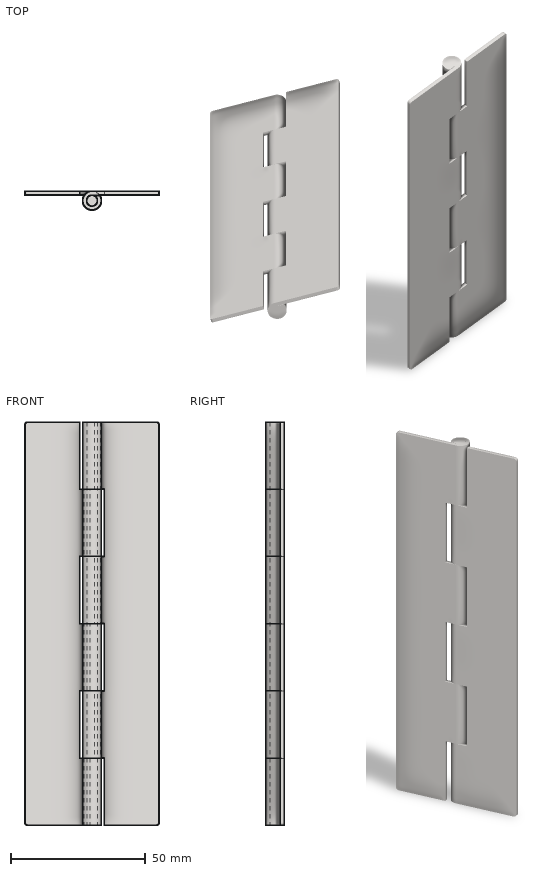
import cadquery as cq

hinge_height = 150.0
hinge_width = 50.0
knuckle_count = 6
knuckle_height = hinge_height / knuckle_count

barrel_diameter = 7.0
barrel_radius = barrel_diameter / 2
sheet_thickness = 1.5
pin_radius = barrel_radius - sheet_thickness
leaf_edge_offset = 4.5
corner_radius = 1.0
seam_gap = 0.2

LEFT = -1
RIGHT = 1


def make_plate(side):
    """Flat sheet of one leaf, with its two outer corners rounded."""
    width = hinge_width / 2 - leaf_edge_offset
    center_x = side * (leaf_edge_offset + width / 2)
    outer_edges = ">X" if side == RIGHT else "<X"
    return (
        cq.Workplane("XY")
        .box(width, sheet_thickness, hinge_height)
        .edges("|Y")
        .edges(outer_edges)
        .fillet(corner_radius)
        .translate((center_x, barrel_radius - sheet_thickness / 2, 0))
    )


def make_knuckle(side, index):
    """Rolled barrel ring, open at its seam, and its tangent strip; index counts from the bottom."""
    bottom = index * knuckle_height - hinge_height / 2
    strip = (
        cq.Workplane("XY")
        .box(leaf_edge_offset, sheet_thickness, knuckle_height, centered=(True, True, False))
        .translate((side * leaf_edge_offset / 2, barrel_radius - sheet_thickness / 2, bottom))
    )
    ring = cq.Workplane("XY", origin=(0, 0, bottom)).circle(barrel_radius).extrude(knuckle_height)
    bore = cq.Workplane("XY", origin=(0, 0, bottom)).circle(pin_radius).extrude(knuckle_height)
    seam = (
        cq.Workplane("XY")
        .box(leaf_edge_offset, seam_gap, knuckle_height, centered=(True, True, False))
        .translate((side * leaf_edge_offset / 2, pin_radius - seam_gap / 2, bottom))
    )
    return ring.union(strip).cut(bore).cut(seam)


def make_leaf(side, first_knuckle):
    """One leaf: a plate carrying every second knuckle."""
    leaf = make_plate(side)
    for index in range(first_knuckle, knuckle_count, 2):
        leaf = leaf.union(make_knuckle(side, index))
    return leaf


def make_pin():
    """Straight pin filling the bore, flush with both ends of the barrel."""
    return cq.Workplane("XY").circle(pin_radius).extrude(hinge_height / 2, both=True)


left_leaf = make_leaf(LEFT, first_knuckle=0)
right_leaf = make_leaf(RIGHT, first_knuckle=1)
pin = make_pin()

result = cq.Compound.makeCompound([left_leaf.val(), right_leaf.val(), pin.val()])